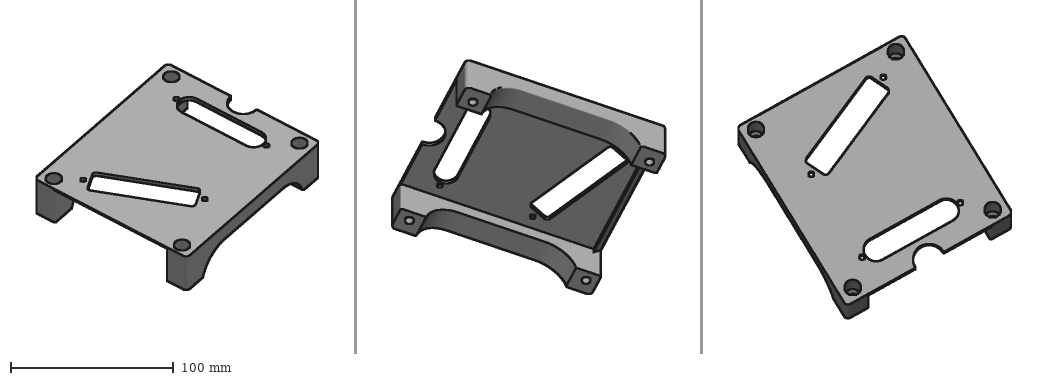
import cadquery as cq
import math

width = 118.7
depth = 134.0
height = 27.9
corner_radius = 3.0
edge_radius = 1.0

rail_width = 16.1
channel_width = width - 2 * rail_width
plate_thickness = 3.0
lip_edge_thickness = 1.1
lip_height = 6.3

arch_height = 15.5
arch_radius = 22.0
arch_flat_half = 29.1

screw_spacing_x = 99.7
screw_spacing_y = 118.2
screw_centre_y = -0.5
screw_head_diameter = 10.0
screw_diameter = 5.5
screw_recess_depth = 18.8

mount_spacing_x = 70.0
mount_diameter = 3.5
slot_y = 44.5
slot_length = 65.4
slot_width = 15.4
slanted_y = -33.5
slanted_rise = 31.9
slanted_length = 68.2
slanted_width = 16.9
slanted_corner_radius = 2.5

notch_diameter = 19.8
notch_centre_y = 66.5


def make_block():
    block = cq.Workplane("XY").box(width, depth, height, centered=(True, True, False))
    return block.edges("|Z").fillet(corner_radius)


def make_channel():
    """Space between the legs, leaving the top plate and a sloping lip along its front edge."""
    half_depth = depth / 2
    plate_z = height - plate_thickness
    lip_end_y = -half_depth + lip_height - lip_edge_thickness
    return (
        cq.Workplane("YZ")
        .polyline([
            (-half_depth, 0),
            (half_depth, 0),
            (half_depth, plate_z),
            (lip_end_y, plate_z),
            (lip_end_y, height - lip_height),
            (-half_depth, height - lip_edge_thickness),
        ])
        .close()
        .extrude(channel_width / 2, both=True)
    )


def make_arches():
    """Arch cut across both rails, with ends rounding into the flat crown."""
    centre_z = arch_height - arch_radius
    foot_y = arch_flat_half + math.sqrt(arch_radius**2 - centre_z**2)
    middle_angle = (math.pi / 2 + math.asin(-centre_z / arch_radius)) / 2
    middle_y = arch_flat_half + arch_radius * math.cos(middle_angle)
    middle_z = centre_z + arch_radius * math.sin(middle_angle)
    return (
        cq.Workplane("YZ")
        .moveTo(-foot_y, 0)
        .threePointArc((-middle_y, middle_z), (-arch_flat_half, arch_height))
        .lineTo(arch_flat_half, arch_height)
        .threePointArc((middle_y, middle_z), (foot_y, 0))
        .close()
        .extrude(width / 2, both=True)
    )


def make_screw_holes():
    """Stepped holes: head recess from the top, 45 degree seat, then a straight bore."""
    bore_radius = screw_diameter / 2
    head_radius = screw_head_diameter / 2
    recess_z = height - screw_recess_depth
    seat_z = recess_z - (head_radius - bore_radius)
    hole = (
        cq.Workplane("XZ")
        .polyline([
            (0, 0),
            (bore_radius, 0),
            (bore_radius, seat_z),
            (head_radius, recess_z),
            (head_radius, height),
            (0, height),
        ])
        .close()
        .revolve(360, (0, 0), (0, 1))
        .val()
    )
    return (
        cq.Workplane("XY")
        .center(0, screw_centre_y)
        .rarray(screw_spacing_x, screw_spacing_y, 2, 2)
        .eachpoint(lambda place: hole.moved(place), combine=False)
    )


def make_mount_holes():
    x = mount_spacing_x / 2
    rise = slanted_rise / 2
    return (
        cq.Workplane("XY")
        .pushPoints([(-x, slot_y), (x, slot_y), (-x, slanted_y - rise), (x, slanted_y + rise)])
        .circle(mount_diameter / 2)
        .extrude(height)
    )


def make_slot():
    return cq.Workplane("XY").center(0, slot_y).slot2D(slot_length, slot_width).extrude(height)


def make_slanted_opening():
    angle = math.degrees(math.atan2(slanted_rise, mount_spacing_x))
    return (
        cq.Workplane("XY")
        .rect(slanted_length, slanted_width)
        .extrude(height)
        .edges("|Z")
        .fillet(slanted_corner_radius)
        .rotate((0, 0, 0), (0, 0, 1), angle)
        .translate((0, slanted_y, 0))
    )


def make_notch():
    """Half-round notch with straight sides out to the back edge."""
    return (
        cq.Workplane("XY")
        .center(0, notch_centre_y)
        .slot2D(2 * notch_diameter, notch_diameter, 90)
        .extrude(height)
        .translate((0, notch_diameter / 2, 0))
    )


def select_inside(half_x, half_y):
    """Selector for edges centred within the plan limits, clear of the top and bottom faces."""
    margin = 0.1
    return cq.selectors.BoxSelector(
        (-half_x - margin, -half_y - margin, margin),
        (half_x + margin, half_y + margin, height - margin),
    )


def round_openings(body):
    """Round the arch edges on the outer faces and the upright channel edges at front and back."""
    arch_edges = select_inside(width / 2, arch_flat_half + arch_radius)
    for face in ("<X", ">X"):
        body = body.faces(face).edges(arch_edges).fillet(edge_radius)
    channel_edges = select_inside(channel_width / 2, depth / 2)
    for face in ("<Y", ">Y"):
        body = body.faces(face).edges(channel_edges).edges("|Z").fillet(edge_radius)
    return body


bracket = make_block().cut(make_channel()).cut(make_arches())
result = (
    round_openings(bracket)
    .cut(make_notch())
    .cut(make_screw_holes())
    .cut(make_mount_holes())
    .cut(make_slot())
    .cut(make_slanted_opening())
)